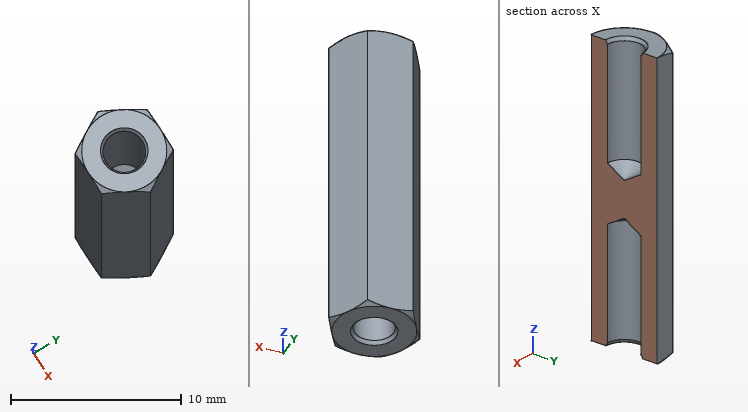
import cadquery as cq
import math

across_flats = 5.005
length = 20.0
across_corners = across_flats / math.cos(math.radians(30))

face_diameter = 5.0
bevel_angle = 30.0
bevel_depth = (across_corners - face_diameter) / 2 * math.tan(math.radians(bevel_angle))

hole_diameter = 2.5
hole_depth = 8.0
drill_point_angle = 118.0
countersink_depth = 0.25
countersink_angle = 60.0


def revolve_about_z(profile):
    """Turn a closed XZ profile around the Z axis."""
    return profile.revolve(360, (0, 0, 0), (0, 1, 0))


def hexagonal_bar():
    return cq.Workplane("XY").polygon(6, across_corners).extrude(length)


def bevel_envelope():
    """Cylinder around the corners with both ends coned; the bar is trimmed to it."""
    face_radius = face_diameter / 2
    corner_radius = across_corners / 2
    profile = (
        cq.Workplane("XZ")
        .lineTo(face_radius, 0)
        .lineTo(corner_radius, bevel_depth)
        .lineTo(corner_radius, length - bevel_depth)
        .lineTo(face_radius, length)
        .lineTo(0, length)
        .close()
    )
    return revolve_about_z(profile)


def top_hole():
    """Countersunk blind hole with a conical bottom, entering the top face."""
    radius = hole_diameter / 2
    mouth_radius = radius + countersink_depth * math.tan(math.radians(countersink_angle / 2))
    point_depth = radius / math.tan(math.radians(drill_point_angle / 2))
    profile = (
        cq.Workplane("XZ")
        .moveTo(0, length)
        .lineTo(mouth_radius, length)
        .lineTo(radius, length - countersink_depth)
        .lineTo(radius, length - hole_depth)
        .lineTo(0, length - hole_depth - point_depth)
        .close()
    )
    return revolve_about_z(profile)


def bottom_hole():
    """The top hole mirrored about the middle of the bar."""
    return top_hole().mirror("XY", (0, 0, length / 2))


body = hexagonal_bar().intersect(bevel_envelope())
result = body.cut(top_hole()).cut(bottom_hole())